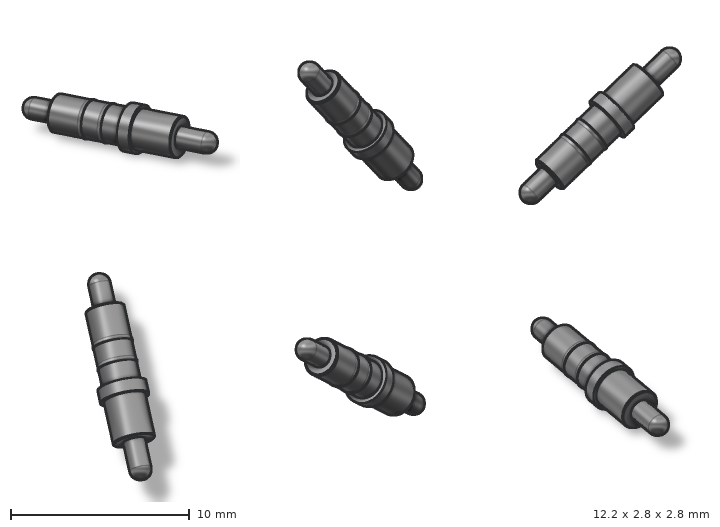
import cadquery as cq

total_length = 12.22
pin_radius = 0.64

barrel_start = 2.05
flange_start = 6.65
flange_width = 0.75
barrel_end = 9.91

front_radius = 1.11
front_chamfer = 0.07
flange_radius = 1.399
rear_radius = 1.2
rear_chamfer = 0.05

barb_starts = (3.98, 5.24)
barb_ramp = 0.17
barb_land = 0.07
barb_height = 0.04

left_tip = -total_length / 2


def cylinder(start, end, radius):
    """Solid cylinder along X between two stations."""
    plane = cq.Workplane("YZ", origin=(left_tip + start, 0, 0))
    return plane.circle(radius).extrude(end - start)


def round_ended_pin():
    """Full-length pin with a hemisphere at each end."""
    straight_end = -left_tip - pin_radius
    profile = (
        cq.Workplane("XY")
        .moveTo(left_tip, 0)
        .radiusArc((-straight_end, pin_radius), pin_radius)
        .lineTo(straight_end, pin_radius)
        .radiusArc((-left_tip, 0), pin_radius)
        .close()
    )
    return profile.revolve(360, (0, 0, 0), (1, 0, 0))


def barb(start):
    """Shallow ring that rises from the front barrel surface."""
    base = left_tip + start
    crest_start = base + barb_ramp
    crest_end = crest_start + barb_land
    crest_radius = front_radius + barb_height
    profile = (
        cq.Workplane("XY")
        .moveTo(base, 0)
        .lineTo(base, front_radius)
        .lineTo(crest_start, crest_radius)
        .lineTo(crest_end, crest_radius)
        .lineTo(crest_end, 0)
        .close()
    )
    return profile.revolve(360, (0, 0, 0), (1, 0, 0))


flange_end = flange_start + flange_width
front_barrel = cylinder(barrel_start, flange_start, front_radius).faces("<X").chamfer(front_chamfer)
flange = cylinder(flange_start, flange_end, flange_radius)
rear_barrel = cylinder(flange_end, barrel_end, rear_radius).faces(">X").chamfer(rear_chamfer)

result = round_ended_pin().union(front_barrel).union(flange).union(rear_barrel)
for barb_start in barb_starts:
    result = result.union(barb(barb_start))